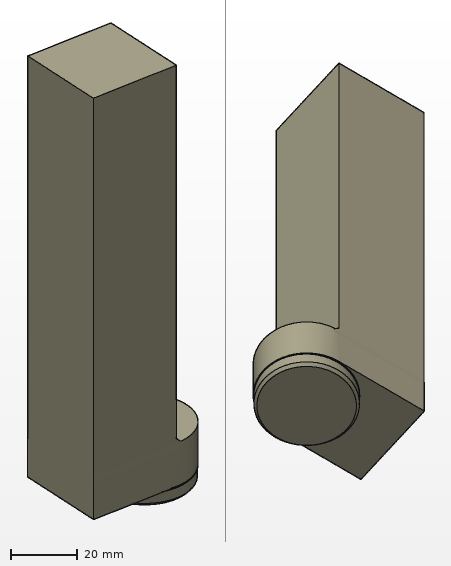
import cadquery as cq

total_height = 152.3
shank_width = 32.0
shank_depth = 31.8
head_width = 32.3
head_centre_y = 32.1

head_bottom = 5.2
head_top = 20.4

disc_diameter = 31.8
disc_bevel = 0.9
disc_bevel_height = 1.0

seat_diameter = 32.0
seat_front_height = 0.8
seat_rear_height = 0.2

shoulder_height = 2.5
corner_bevel = 1.5

head_radius = head_width / 2
disc_radius = disc_diameter / 2
seat_radius = seat_diameter / 2


def make_shank():
    """Nearly square bar standing with its front face on Y = 0."""
    bar = cq.Workplane("XY").workplane(offset=head_bottom)
    bar = bar.rect(shank_width, shank_depth)
    return bar.extrude(total_height - head_bottom).translate((0, shank_depth / 2, 0))


def make_head():
    """Block with a semicircular rear and sides that slope in to the shank width."""
    outline = (
        cq.Workplane("XY")
        .workplane(offset=head_bottom)
        .moveTo(-head_radius, 0)
        .lineTo(head_radius, 0)
        .lineTo(head_radius, head_centre_y)
        .threePointArc((0, head_centre_y + head_radius), (-head_radius, head_centre_y))
        .close()
        .extrude(head_top - head_bottom)
    )
    shoulder_bottom = head_top - shoulder_height
    end_profile = (
        cq.Workplane("XZ")
        .polyline([
            (-head_radius, head_bottom),
            (head_radius, head_bottom),
            (head_radius, shoulder_bottom),
            (shank_width / 2, head_top),
            (-shank_width / 2, head_top),
            (-head_radius, shoulder_bottom),
        ])
        .close()
        .extrude(-(head_centre_y + head_radius))
    )
    return outline.intersect(end_profile)


def make_disc():
    """Round disc with a beveled lower rim, concentric with the rear of the head."""
    return (
        cq.Workplane("XY")
        .center(0, head_centre_y)
        .circle(disc_radius)
        .extrude(head_bottom)
        .faces("<Z")
        .chamfer(disc_bevel_height, disc_bevel)
    )


def make_seat():
    """Round seat whose lower face slopes up toward the rear."""
    front_y = head_centre_y - seat_radius
    rear_y = head_centre_y + seat_radius
    wedge = (
        cq.Workplane("YZ")
        .polyline([
            (front_y, head_bottom),
            (front_y, head_bottom - seat_front_height),
            (rear_y, head_bottom - seat_rear_height),
            (rear_y, head_bottom),
        ])
        .close()
        .extrude(seat_radius, both=True)
    )
    cylinder = cq.Workplane("XY").center(0, head_centre_y).circle(seat_radius).extrude(head_bottom)
    return wedge.intersect(cylinder)


def make_corner_bevel():
    """Triangular strip filling the corner between shank and head top."""
    return (
        cq.Workplane("YZ")
        .polyline([
            (shank_depth, head_top),
            (shank_depth + corner_bevel, head_top),
            (shank_depth, head_top + corner_bevel),
        ])
        .close()
        .extrude(shank_width / 2, both=True)
    )


head_cylinder = cq.Workplane("XY").center(0, head_centre_y).circle(head_radius).extrude(total_height)
result = make_shank().union(make_head()).union(make_disc()).union(make_seat())
result = result.union(make_corner_bevel().intersect(head_cylinder))